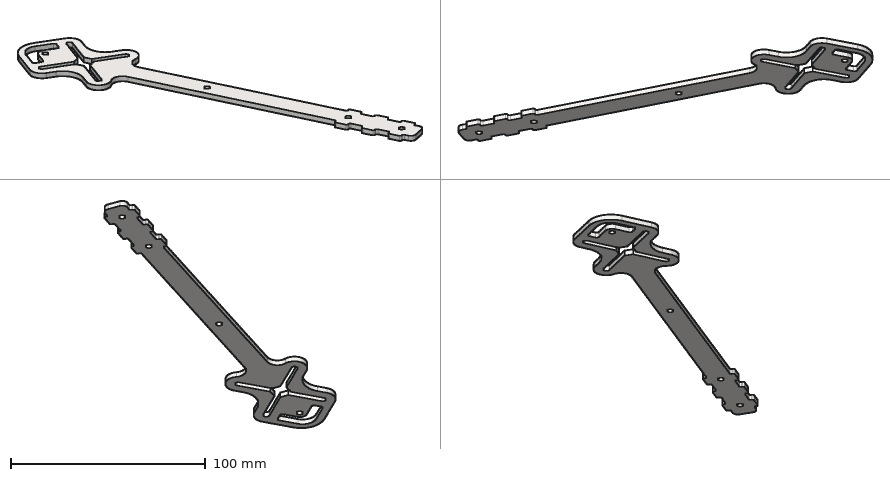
import cadquery as cq
import math

LENGTH = 227.5
HEAD_WIDTH = 45.5
THICKNESS = 3.0
HOLE_DIAMETER = 3.2

CROSS_X = 36.5
LOBE_OFFSET = 16.2
LOBE_RADIUS = HEAD_WIDTH / 2 - LOBE_OFFSET
WAIST_HALF_WIDTH = 13.9
SLOT_WIDTH = 3.2
CROSS_CENTER_SIZE = 9.0

NOSE_HOLE_X = 14.3
WINDOW_FRONT_RADIUS = 7.5
WINDOW_WIDTH = 6.0
WINDOW_END_OFFSET = 9.0
WINDOW_CORNER_RADIUS = 1.4
NOSE_HOLE_RIM_RADIUS = 3.9

STRAP_HALF_WIDTH = 6.4
STRAP_FILLET = 6.0
STRAP_HOLE_X = 106.7
TAIL_CORNER_RADIUS = 3.0
LUG_COUNT = 3
FIRST_LUG_X = 187.3
LUG_PITCH = 15.2
LUG_LENGTH = 7.5
LUG_FILLET = 1.0
LUG_HALF_WIDTH = 8.6
LUG_CENTERS = [FIRST_LUG_X + index * LUG_PITCH for index in range(LUG_COUNT)]

ROOT_TWO = math.sqrt(2)


def polar(center, radius, degrees):
    """Point on a circle."""
    angle = math.radians(degrees)
    return (center[0] + radius * math.cos(angle), center[1] + radius * math.sin(angle))


def mirrored(point):
    """The same point on the other side of the strap axis."""
    return (point[0], -point[1])


def prism(profile):
    """Extrude a closed profile to the plate thickness."""
    return profile.close().extrude(THICKNESS)


def make_half_plate():
    """The +Y half of the head and strap; all arcs meet their neighbours tangentially."""
    front_lobe = (CROSS_X - LOBE_OFFSET, LOBE_OFFSET)
    rear_lobe = (CROSS_X + LOBE_OFFSET, LOBE_OFFSET)

    edge_start_x = CROSS_X - 2 * LOBE_OFFSET - LOBE_RADIUS * ROOT_TWO
    nose_radius = -edge_start_x / (ROOT_TWO - 1)
    nose = (nose_radius, 0)

    flank_apex_y = LOBE_RADIUS * ROOT_TWO
    waist_radius = (WAIST_HALF_WIDTH - flank_apex_y) / (ROOT_TWO - 1)
    waist = (CROSS_X, WAIST_HALF_WIDTH + waist_radius)

    neck_y = STRAP_HALF_WIDTH + STRAP_FILLET
    neck_drop = LOBE_OFFSET - neck_y
    neck_reach = math.sqrt((LOBE_RADIUS + STRAP_FILLET) ** 2 - neck_drop ** 2)
    neck = (rear_lobe[0] + neck_reach, neck_y)
    neck_angle = -math.degrees(math.atan2(neck_drop, neck_reach))

    profile = (
        cq.Workplane("XY")
        .moveTo(0, 0)
        .threePointArc(polar(nose, nose_radius, 157.5), polar(nose, nose_radius, 135))
        .lineTo(*polar(front_lobe, LOBE_RADIUS, 135))
        .threePointArc(polar(front_lobe, LOBE_RADIUS, 90), polar(front_lobe, LOBE_RADIUS, 45))
        .lineTo(*polar(waist, waist_radius, 225))
        .threePointArc(polar(waist, waist_radius, 270), polar(waist, waist_radius, 315))
        .lineTo(*polar(rear_lobe, LOBE_RADIUS, 135))
        .threePointArc(
            polar(rear_lobe, LOBE_RADIUS, (135 + neck_angle) / 2),
            polar(rear_lobe, LOBE_RADIUS, neck_angle),
        )
        .threePointArc(
            polar(neck, STRAP_FILLET, (180 + neck_angle + 270) / 2),
            polar(neck, STRAP_FILLET, 270),
        )
        .lineTo(LENGTH - TAIL_CORNER_RADIUS, STRAP_HALF_WIDTH)
        .radiusArc((LENGTH, STRAP_HALF_WIDTH - TAIL_CORNER_RADIUS), TAIL_CORNER_RADIUS)
        .lineTo(LENGTH, 0)
    )
    return prism(profile)


def add_lugs(plate):
    """Add the tail lugs, each one rounded bar across the strap, and blend their roots."""
    for x in LUG_CENTERS:
        lug = cq.Workplane("XY").center(x, 0).rect(LUG_LENGTH, 2 * LUG_HALF_WIDTH).extrude(THICKNESS)
        plate = plate.union(lug.edges("|Z").fillet(LUG_FILLET))
    for x in LUG_CENTERS:
        roots = cq.selectors.BoxSelector(
            (x - LUG_LENGTH, -STRAP_HALF_WIDTH - LUG_FILLET, 0),
            (x + LUG_LENGTH, STRAP_HALF_WIDTH + LUG_FILLET, THICKNESS),
        )
        plate = plate.edges("|Z").edges(roots).fillet(LUG_FILLET)
    return plate


def make_cross():
    """Two diagonal slots with round ends and a square opening where they cross."""
    slot_length = 2 * LOBE_OFFSET * ROOT_TWO + SLOT_WIDTH
    center = cq.Workplane("XY").center(CROSS_X, 0)
    cross = center.rect(CROSS_CENTER_SIZE, CROSS_CENTER_SIZE).extrude(THICKNESS)
    for angle in (45, -45):
        slot = cq.Workplane("XY").center(CROSS_X, 0).slot2D(slot_length, SLOT_WIDTH, angle).extrude(THICKNESS)
        cross = cross.union(slot)
    return cross


def make_window():
    """Right-angled window whose inner bend is concentric with the nose hole."""
    inner_apex_x = NOSE_HOLE_X - NOSE_HOLE_RIM_RADIUS * ROOT_TWO
    outer_apex_x = inner_apex_x - WINDOW_WIDTH * ROOT_TWO
    half_width = WINDOW_WIDTH / ROOT_TWO
    inner_end = (inner_apex_x + WINDOW_END_OFFSET, WINDOW_END_OFFSET)
    outer_end = (inner_end[0] - half_width, inner_end[1] + half_width)
    outline = [
        (inner_apex_x, 0), inner_end, outer_end,
        (outer_apex_x, 0), mirrored(outer_end), mirrored(inner_end),
    ]
    window = prism(cq.Workplane("XY").polyline(outline))
    window = window.edges("|Z and <X").fillet(WINDOW_FRONT_RADIUS)
    window = window.edges("|Z and (>Y or <Y or >X)").fillet(WINDOW_CORNER_RADIUS)
    inner_bend = cq.selectors.NearestToPointSelector((inner_apex_x, 0, THICKNESS / 2))
    return window.edges("|Z").edges(inner_bend).fillet(NOSE_HOLE_RIM_RADIUS)


def make_holes():
    """Holes on the strap axis: nose, strap, first lug and last lug."""
    centers = [(x, 0) for x in (NOSE_HOLE_X, STRAP_HOLE_X, LUG_CENTERS[0], LUG_CENTERS[-1])]
    return cq.Workplane("XY").pushPoints(centers).circle(HOLE_DIAMETER / 2).extrude(THICKNESS)


half_plate = make_half_plate()
plate = half_plate.union(half_plate.mirror("XZ")).clean()
result = add_lugs(plate).cut(make_cross()).cut(make_window()).cut(make_holes())